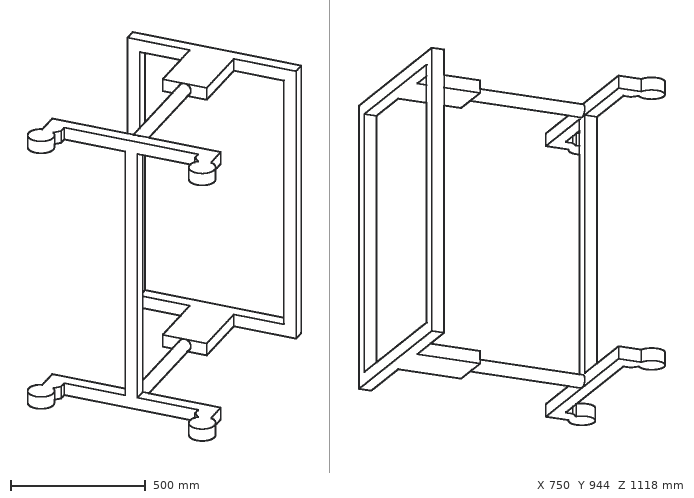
import cadquery as cq

total_height = 1118.0
frame_width = 680.0
bar_size = 50.0

block_width = 178.0
block_length = 254.0
rod_diameter = 50.0
rod_length = 450.0

leg_width = 70.0
leg_straight_length = 80.0
leg_chamfer = 30.0
caster_diameter = 100.0
caster_center_x = 325.0
caster_setback = 140.0

stand_back_y = caster_setback
stand_bar_front_y = stand_back_y - bar_size
block_front_y = stand_back_y + rod_length
frame_front_y = block_front_y + block_length

half_width = frame_width / 2
level_bottoms = (0.0, total_height - bar_size)


def centered_box(width, depth, height, front_y, bottom_z):
    """Box centred on X = 0, starting at the given front face and bottom."""
    return (
        cq.Workplane("XY")
        .box(width, depth, height, centered=(True, False, False))
        .translate((0, front_y, bottom_z))
    )


def rear_frame():
    outer = centered_box(frame_width, bar_size, total_height, frame_front_y, 0)
    opening_width = frame_width - 2 * bar_size
    opening_height = total_height - 2 * bar_size
    opening = centered_box(opening_width, bar_size, opening_height, frame_front_y, bar_size)
    return outer.cut(opening)


def column():
    return centered_box(bar_size, bar_size, total_height, stand_bar_front_y, 0)


def block(bottom_z):
    return centered_box(block_width, block_length, bar_size, block_front_y, bottom_z)


def stand_bar(bottom_z):
    return centered_box(frame_width, bar_size, bar_size, stand_bar_front_y, bottom_z)


def rod(bottom_z):
    return (
        cq.Workplane("XZ", origin=(0, block_front_y, bottom_z + bar_size / 2))
        .circle(rod_diameter / 2)
        .extrude(rod_length)
    )


def leg_with_caster(bottom_z, side):
    inner_x = half_width - leg_width
    chamfer_start_y = stand_back_y - leg_straight_length
    leg_end_y = chamfer_start_y - leg_chamfer
    outline = [
        (side * half_width, stand_back_y),
        (side * inner_x, stand_back_y),
        (side * inner_x, chamfer_start_y),
        (side * (inner_x + leg_chamfer), leg_end_y),
        (side * half_width, leg_end_y),
    ]
    plane = cq.Workplane("XY", origin=(0, 0, bottom_z))
    leg = plane.polyline(outline).close().extrude(bar_size)
    caster = plane.center(side * caster_center_x, 0).circle(caster_diameter / 2).extrude(bar_size)
    return leg.union(caster)


result = rear_frame().union(column())
for level in level_bottoms:
    result = result.union(block(level)).union(rod(level)).union(stand_bar(level))
    for x_side in (-1, 1):
        result = result.union(leg_with_caster(level, x_side))